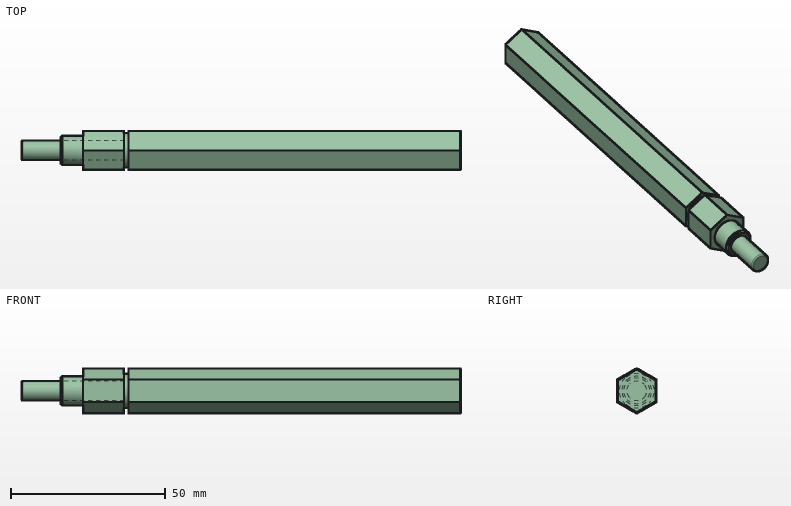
import cadquery as cq
import math

total_length = 142.3
hex_across_flats = 12.7
hex_across_corners = hex_across_flats / math.cos(math.radians(30))

collar_start = 12.7
hex_start = 19.9
groove_start = 33.2
groove_width = 1.4

pin_diameter = 6.4
bore_diameter = pin_diameter
collar_diameter = 9.5
groove_diameter = 11.2

pin_tip_radius = 0.5
collar_chamfer = 0.5
end_chamfer = 0.3

bore_end = groove_start + groove_width


def cylinder(start, end, diameter):
    """Round bar along X between two positions."""
    return cq.Workplane("YZ", origin=(start, 0, 0)).circle(diameter / 2).extrude(end - start)


def hex_bar(start, end):
    """Hexagonal bar along X with two of its corners pointing up and down."""
    return (
        cq.Workplane("YZ", origin=(start, 0, 0))
        .transformed(rotate=(0, 0, 90))
        .polygon(6, hex_across_corners)
        .extrude(end - start)
    )


def make_handle():
    """Hexagonal handle with a grooved grip and a bored collar for the pin."""
    collar = cylinder(collar_start, hex_start, collar_diameter).faces("<X").chamfer(collar_chamfer)
    nose = hex_bar(hex_start, groove_start)
    neck = cylinder(groove_start, bore_end, groove_diameter)
    grip = hex_bar(bore_end, total_length).faces(">X").chamfer(end_chamfer)
    bore = cylinder(collar_start, bore_end, bore_diameter)
    return collar.union(nose).union(neck).union(grip).cut(bore)


def make_pin():
    """Round pin with a rounded tip, standing out of the collar and seated on the floor of the bore."""
    return cylinder(0, bore_end, pin_diameter).faces("<X").fillet(pin_tip_radius)


handle = make_handle()
pin = make_pin()
result = cq.Compound.makeCompound([handle.val(), pin.val()])